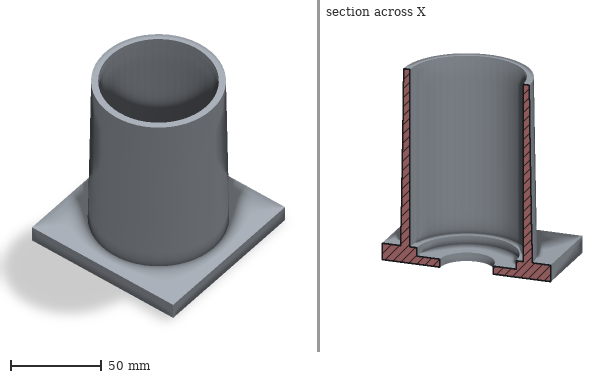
import cadquery as cq

plate_side = 100.0
plate_thickness = 10.0

overall_height = 115.0
tube_base_diameter = 78.7
tube_top_diameter = 75.0
tube_height = overall_height - plate_thickness

bore_diameter = 67.0
recess_diameter = 59.0
recess_depth = plate_thickness / 2
hole_diameter = 31.5


def bore_from_rim(diameter, depth):
    """Round cutter centred on the tube, reaching down from the rim."""
    return (
        cq.Workplane("XY", origin=(0, 0, overall_height))
        .circle(diameter / 2)
        .extrude(-depth)
    )


plate = cq.Workplane("XY").rect(plate_side, plate_side).extrude(plate_thickness)

tube = (
    cq.Workplane("XY", origin=(0, 0, plate_thickness))
    .circle(tube_base_diameter / 2)
    .workplane(offset=tube_height)
    .circle(tube_top_diameter / 2)
    .loft(ruled=True)
)

result = (
    plate.union(tube)
    .cut(bore_from_rim(bore_diameter, tube_height))
    .cut(bore_from_rim(recess_diameter, tube_height + recess_depth))
    .cut(bore_from_rim(hole_diameter, overall_height))
)